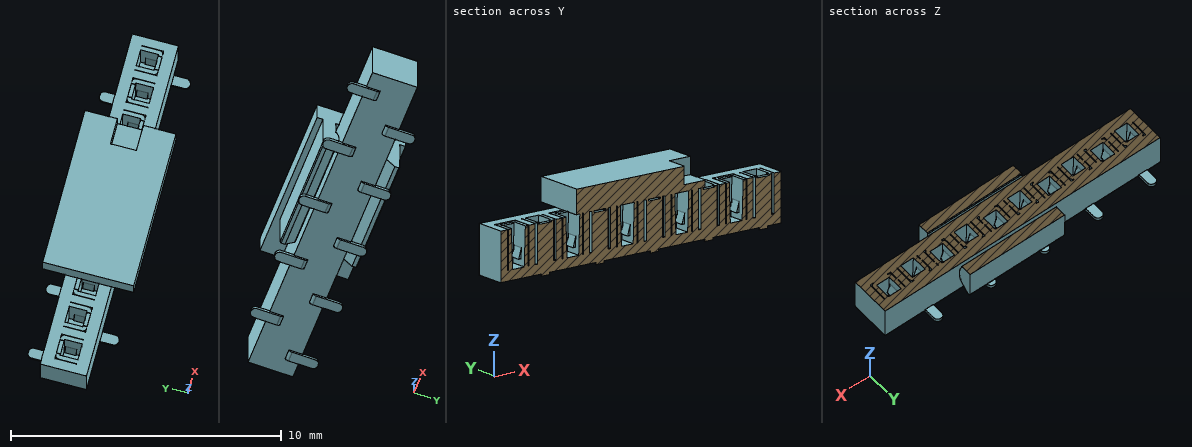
import cadquery as cq


housing_length = 13.1
housing_width = 1.78
housing_height = 2.0

contact_count = 10
contact_pitch = 1.27

pocket_length = 0.97
pocket_width = 0.84
pocket_depth = 1.57
pocket_floor = housing_height - pocket_depth

contact_clearance = 0.01
sheet_thickness = 0.16
contact_length = pocket_length - 2 * contact_clearance
bend_radius = 0.15
web_drop = 0.05
arm_lean = 0.05
spring_width = 0.43
spring_reach = 0.16
spring_top_depth = 0.79
spring_bottom_depth = 1.31

foot_width = 0.39
foot_thickness = 0.16
foot_drop = 0.1
foot_tip_y = 1.57
foot_root_y = 0.34
foot_tip_radius = 0.18
foot_root_radius = 0.13

cap_length = 6.03
cap_width = 3.5
cap_height = 1.0
notch_size = 1.0
notch_depth = 0.71

leg_length = 4.5
leg_outer_y = 1.52
leg_inner_y = 1.01
leg_tip_z = 0.2
leg_tip_inner_y = 1.32
leg_edge_width = 0.04
leg_edge_height = 0.08
bulge_top_z = 1.38
bulge_middle_z = 0.92
bulge_bottom_y = 0.94
bulge_bottom_z = 0.6
grip_overlap = 0.01


def box_on(length, width, height, bottom_z):
    """Box centred in X and Y that stands on the plane Z = bottom_z."""
    return cq.Workplane("XY").workplane(offset=bottom_z).rect(length, width).extrude(height)


def make_spring(side):
    """Wedge on the arm at the given X side that grows inward and ends above the pocket floor."""
    top_z = housing_height - spring_top_depth
    bottom_z = housing_height - spring_bottom_depth
    arm_x = contact_length / 2 - sheet_thickness
    outline = [
        (side * contact_length / 2, bottom_z),
        (side * (arm_x - spring_reach), bottom_z),
        (side * arm_x, top_z),
        (side * contact_length / 2, top_z),
    ]
    return cq.Workplane("XZ").polyline(outline).close().extrude(spring_width / 2, both=True)


def make_contact():
    """U-shaped contact with its web on the +Y side and its arms against the -Y pocket wall."""
    sheet = box_on(contact_length, pocket_width, pocket_depth, pocket_floor)
    sheet = sheet.edges("|Z and >Y").fillet(bend_radius)

    top_half_gap = contact_length / 2 - sheet_thickness
    bottom_half_gap = top_half_gap - arm_lean
    gap_outline = [
        (-bottom_half_gap, pocket_floor),
        (bottom_half_gap, pocket_floor),
        (top_half_gap, housing_height),
        (-top_half_gap, housing_height),
    ]
    gap = (
        cq.Workplane("XZ", origin=(0, pocket_width / 2 - sheet_thickness, 0))
        .polyline(gap_outline)
        .close()
        .extrude(pocket_width)
    )
    web_recess = box_on(2 * bottom_half_gap, pocket_width, web_drop, housing_height - web_drop)
    contact = sheet.cut(gap).cut(web_recess)
    return contact.union(make_spring(-1)).union(make_spring(1))


def make_foot():
    """Solder foot that leaves the housing towards +Y, with rounded tip corners."""
    foot_length = foot_tip_y - foot_root_y
    foot = box_on(foot_width, foot_length, foot_thickness, -foot_drop)
    foot = foot.translate((0, foot_root_y + foot_length / 2, 0))
    foot = foot.edges("|Z and >Y").fillet(foot_tip_radius)
    return foot.edges("|X and <Y and <Z").fillet(foot_root_radius)


def make_leg():
    """Clip leg on the +Y side whose rounded bulge grips the housing wall."""
    bulge_y = housing_width / 2 - grip_overlap
    profile = (
        cq.Workplane("YZ", origin=(cap_length / 2 - leg_length, 0, 0))
        .moveTo(leg_outer_y, housing_height)
        .lineTo(leg_inner_y, housing_height)
        .lineTo(leg_inner_y, bulge_top_z)
        .threePointArc((bulge_y, bulge_middle_z), (bulge_bottom_y, bulge_bottom_z))
        .lineTo(leg_tip_inner_y, leg_tip_z)
        .lineTo(leg_outer_y - leg_edge_width, leg_tip_z)
        .lineTo(leg_outer_y, leg_tip_z + leg_edge_height)
        .close()
    )
    return profile.extrude(leg_length)


def make_cap():
    """Flat cap with a blind square notch in the middle of its +X edge."""
    cap = box_on(cap_length, cap_width, cap_height, housing_height)
    notch_floor = housing_height + cap_height - notch_depth
    notch = box_on(notch_size, notch_size, notch_depth, notch_floor)
    return cap.cut(notch.translate(((cap_length - notch_size) / 2, 0, 0)))


result = box_on(housing_length, housing_width, housing_height, 0)

pocket = box_on(pocket_length, pocket_width, pocket_depth, pocket_floor)
contact = make_contact()
foot = make_foot()
for index in range(contact_count):
    contact_x = (index - (contact_count - 1) / 2) * contact_pitch
    turn = 180 * (index % 2)
    result = result.cut(pocket.translate((contact_x, 0, 0)))
    for metal in (contact, foot):
        turned = metal.rotate((0, 0, 0), (0, 0, 1), turn)
        result = result.union(turned.translate((contact_x, 0, 0)))

leg = make_leg()
result = result.union(make_cap()).union(leg).union(leg.mirror("XZ"))